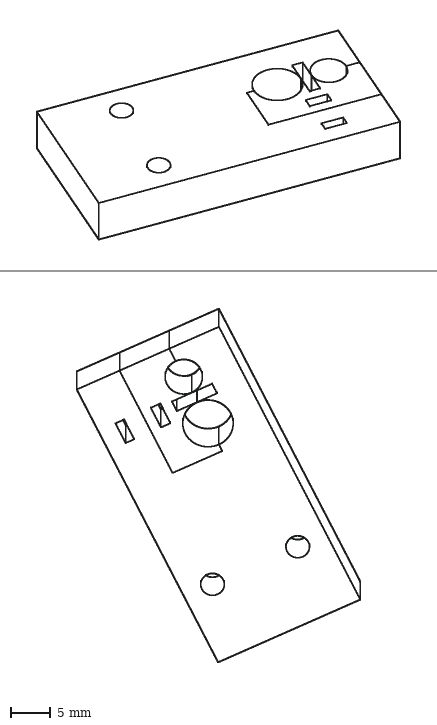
import cadquery as cq

block_width = 20.0
block_length = 41.6
thickness = 6.0
left_side = -block_width / 2
back_side = block_length / 2
front_side = -block_length / 2

insert_width = 7.0
insert_length = 15.6
insert_left = left_side + 7.0

small_opening_diameter = 4.75
small_opening_setback = 4.3
large_opening_diameter = 6.4
large_opening_setback = 11.4
cross_slot_width = 5.65
cross_slot_length = 1.45
web = 0.05
cross_slot_setback = small_opening_setback + small_opening_diameter / 2 + web + cross_slot_length / 2

narrow_slot_length = 3.0
narrow_slot_setback = 7.82
insert_slot_width = 1.35
insert_slot_x = left_side + 11.95
housing_slot_width = 1.2
housing_slot_x = left_side + 16.98

mounting_diameter = 3.0
mounting_spacing = 12.0
mounting_y = front_side + 10.0
mounting_center_x = left_side + 10.03


def box_at(width, length, x, y):
    """Full-thickness box centred on (x, y)."""
    return cq.Workplane("XY").center(x, y).rect(width, length).extrude(thickness)


def cylinder_at(diameter, x, y):
    """Full-thickness cylinder centred on (x, y)."""
    return cq.Workplane("XY").center(x, y).circle(diameter / 2).extrude(thickness)


def insert_blank():
    """Solid outline of the insert, also used to cut its recess."""
    center_x = insert_left + insert_width / 2
    center_y = back_side - insert_length / 2
    return box_at(insert_width, insert_length, center_x, center_y)


def cut_shared_openings(body):
    """Cut the openings that straddle the joint between the two bodies."""
    small_opening = cylinder_at(small_opening_diameter, insert_left, back_side - small_opening_setback)
    large_opening = cylinder_at(large_opening_diameter, insert_left, back_side - large_opening_setback)
    cross_slot = box_at(cross_slot_width, cross_slot_length, insert_left, back_side - cross_slot_setback)
    return body.cut(small_opening).cut(large_opening).cut(cross_slot)


def cut_narrow_slot(body, width, x):
    """Cut a narrow slot through the body."""
    return body.cut(box_at(width, narrow_slot_length, x, back_side - narrow_slot_setback))


def make_housing():
    """Block with the insert recess, its share of the openings and the mounting holes."""
    body = box_at(block_width, block_length, 0, 0).cut(insert_blank())
    body = cut_shared_openings(body)
    body = cut_narrow_slot(body, housing_slot_width, housing_slot_x)
    for side in (-1, 1):
        hole_x = mounting_center_x + side * mounting_spacing / 2
        body = body.cut(cylinder_at(mounting_diameter, hole_x, mounting_y))
    return body


def make_insert():
    """Insert with its share of the openings and its narrow slot."""
    body = cut_shared_openings(insert_blank())
    return cut_narrow_slot(body, insert_slot_width, insert_slot_x)


housing = make_housing()
insert = make_insert()

result = cq.Compound.makeCompound([*housing.solids().vals(), *insert.solids().vals()])